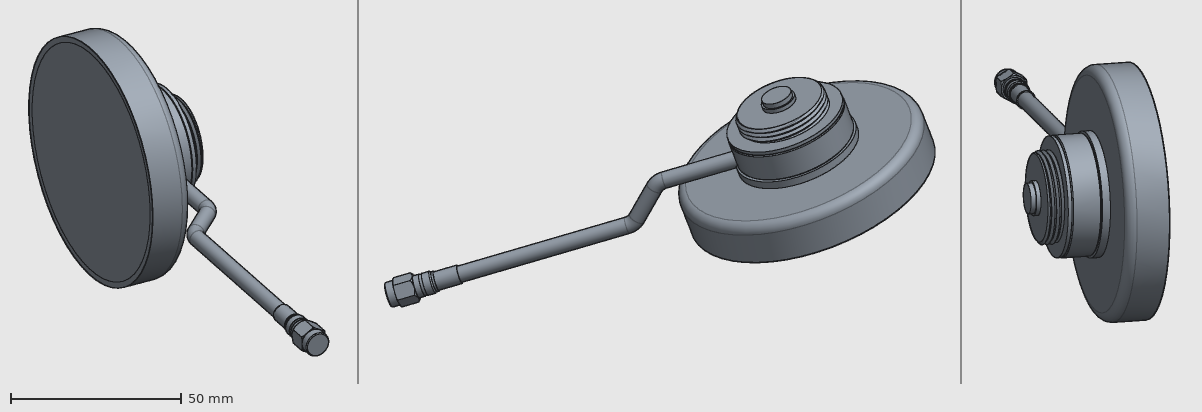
import cadquery as cq
import math


base_diameter = 76.0
magnet_diameter = 72.4
shoulder_diameter = 37.4
body_diameter = 36.2
collar_diameter = 35.9
thread_diameter = 27.8
thread_root_diameter = 26.0
contact_rim_diameter = 10.3
contact_top_diameter = 9.1

sheet_top = 0.2
magnet_top = 10.0
base_top = 13.0
shoulder_top = 15.4
body_top = 24.4
collar_top = 25.6
thread_top = 30.5
contact_rim_top = 31.8
contact_top = 33.35

base_edge_radius = 3.0
body_chamfer = 0.4

thread_pitch = 1.5
ridge_half_width = 0.49 * thread_pitch
ridge_root_overlap = 0.05
thread_end_diameter = 26.2
envelope_clearance = 0.5

cable_diameter = 5.0
cable_start_x = 15.0
cable_y = 16.5
cable_drop = 11.15
bend_radius = 5.0
bend_angle = 45.0
bend_start_x = 40.4

plug_y = cable_y - cable_drop
sleeve_start_x = 107.6
sleeve_end_x = 114.8
neck_end_x = 115.5
groove_start_x = 118.3
groove_end_x = 119.2
nut_start_x = 121.0
hex_end_x = 127.0
nut_end_x = 129.69

sleeve_diameter = 5.7
neck_diameter = 6.2
coupling_diameter = 6.8
groove_diameter = 6.5
coupling_chamfer = 0.5
hex_across_flats = 7.8
hex_rear_bevel = 0.6
hex_front_bevel = 0.3
nut_nose_diameter = 7.6
nut_nose_chamfer = 0.3


def mount_disc(diameter, bottom, top):
    """Cylinder about the Y axis between two levels."""
    plane = cq.Workplane("XZ", origin=(0, bottom, 0))
    return plane.circle(diameter / 2).extrude(bottom - top)


def plug_cylinder(diameter, start_x, end_x):
    """Cylinder about the plug axis between two X stations."""
    plane = cq.Workplane("YZ", origin=(start_x, plug_y, 0))
    return plane.circle(diameter / 2).extrude(end_x - start_x)


def make_cable():
    turn = math.radians(bend_angle)
    bend_length = bend_radius * math.sin(turn)
    bend_drop = bend_radius * (1 - math.cos(turn))
    half_length = bend_radius * math.sin(turn / 2)
    half_drop = bend_radius * (1 - math.cos(turn / 2))
    slant_drop = cable_drop - 2 * bend_drop
    slant_length = slant_drop / math.tan(turn)

    slant_start = (bend_start_x + bend_length, cable_y - bend_drop)
    slant_end = (slant_start[0] + slant_length, slant_start[1] - slant_drop)
    bend_end_x = slant_end[0] + bend_length
    path = (
        cq.Workplane("XY")
        .moveTo(cable_start_x, cable_y)
        .lineTo(bend_start_x, cable_y)
        .threePointArc((bend_start_x + half_length, cable_y - half_drop), slant_start)
        .lineTo(*slant_end)
        .threePointArc((bend_end_x - half_length, plug_y + half_drop), (bend_end_x, plug_y))
        .lineTo(sleeve_end_x, plug_y)
    )
    section = cq.Workplane("YZ", origin=(cable_start_x, cable_y, 0)).circle(cable_diameter / 2)
    return section.sweep(path)


def make_magnet():
    return mount_disc(magnet_diameter, sheet_top, magnet_top)


def make_housing():
    base = mount_disc(base_diameter, sheet_top, base_top).faces(">Y").edges().fillet(base_edge_radius)
    shoulder = mount_disc(shoulder_diameter, base_top, shoulder_top)
    return base.union(shoulder).cut(make_magnet()).cut(make_cable())


def make_body():
    body = mount_disc(body_diameter, shoulder_top, body_top)
    body = body.edges("%CIRCLE").chamfer(body_chamfer)
    return body.cut(make_cable())


def make_thread_ridge():
    """Right-handed triangular ridge wound about the Y axis, overrunning both ends of the thread."""
    root_radius = thread_root_diameter / 2
    crest_radius = thread_diameter / 2
    ridge_length = thread_top - collar_top + 2 * thread_pitch
    helix = cq.Wire.makeHelix(thread_pitch, ridge_length, root_radius)
    ridge = (
        cq.Workplane("XZ", origin=(root_radius, 0, 0))
        .moveTo(-ridge_root_overlap, -ridge_half_width)
        .lineTo(crest_radius - root_radius, 0)
        .lineTo(-ridge_root_overlap, ridge_half_width)
        .close()
        .sweep(cq.Workplane(helix), isFrenet=True)
    )
    upright = ridge.rotate((0, 0, 0), (1, 0, 0), -90)
    turned = upright.rotate((0, 0, 0), (0, 1, 0), 180)
    return turned.translate((0, collar_top - thread_pitch, 0))


def make_threaded_collar():
    collar = mount_disc(collar_diameter, body_top, collar_top)
    root = mount_disc(thread_root_diameter, collar_top, thread_top)
    envelope_diameter = thread_diameter + 2 * envelope_clearance
    lead_in = (envelope_diameter - thread_end_diameter) / 2
    envelope = mount_disc(envelope_diameter, collar_top, thread_top)
    envelope = envelope.faces(">Y").edges().chamfer(lead_in)
    ridge = make_thread_ridge().intersect(envelope)
    return collar.union(root).union(ridge)


def make_contact():
    rim = mount_disc(contact_rim_diameter, thread_top, contact_rim_top)
    return rim.union(mount_disc(contact_top_diameter, contact_rim_top, contact_top))


def make_sleeve():
    sleeve = plug_cylinder(sleeve_diameter, sleeve_start_x, sleeve_end_x)
    return sleeve.cut(plug_cylinder(cable_diameter, sleeve_start_x, sleeve_end_x))


def make_coupling():
    rear = plug_cylinder(coupling_diameter, neck_end_x, groove_start_x)
    rear = rear.faces("<X").edges().chamfer(coupling_chamfer)
    neck = plug_cylinder(neck_diameter, sleeve_end_x, neck_end_x)
    groove = plug_cylinder(groove_diameter, groove_start_x, groove_end_x)
    front = plug_cylinder(coupling_diameter, groove_end_x, nut_start_x)
    return neck.union(rear).union(groove).union(front)


def make_nut():
    corner_diameter = hex_across_flats / math.cos(math.radians(30))
    hexagon = (
        cq.Workplane("YZ", origin=(nut_start_x, plug_y, 0))
        .transformed(rotate=(0, 0, 90))
        .polygon(6, corner_diameter)
        .extrude(hex_end_x - nut_start_x)
    )
    bevel = plug_cylinder(corner_diameter, nut_start_x, hex_end_x)
    bevel = bevel.faces("<X").edges().chamfer(hex_rear_bevel)
    bevel = bevel.faces(">X").edges().chamfer(hex_front_bevel)
    nose = plug_cylinder(nut_nose_diameter, hex_end_x, nut_end_x)
    nose = nose.faces(">X").edges().chamfer(nut_nose_chamfer)
    return hexagon.intersect(bevel).union(nose)


base_sheet = mount_disc(base_diameter, 0, sheet_top)
bodies = [
    base_sheet,
    make_magnet(),
    make_housing(),
    make_body(),
    make_threaded_collar(),
    make_contact(),
    make_cable(),
    make_sleeve(),
    make_coupling(),
    make_nut(),
]
result = cq.Compound.makeCompound([body.val() for body in bodies])